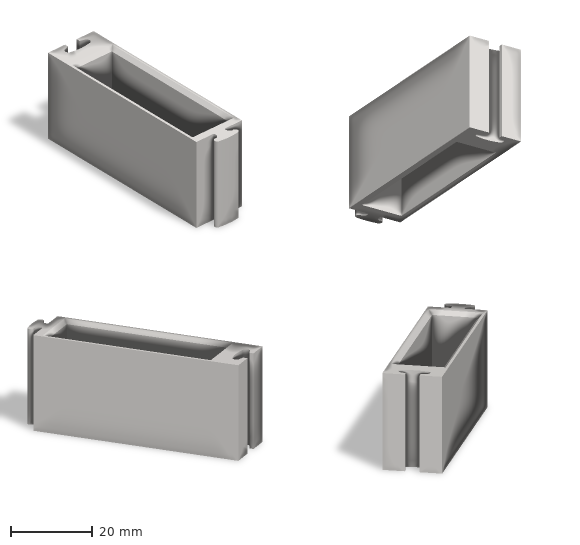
import cadquery as cq

total_length = 58.65
width = 15.0
height = 25.0

tongue_reach = 3.7
neck_root_half = 1.8
neck_half = 1.65
neck_x = 0.6
throat_x = 1.8
throat_half = 2.75
head_x = 2.6
head_half = 3.8
face_edge_x = 3.45
face_edge_half = 3.0

groove_depth = 3.8
mouth_half = 1.9
lip_depth = 1.1
flank_x = 1.6
flank_half = 3.4
pocket_x = 2.4
pocket_half = 4.0
floor_edge_x = 3.45
floor_edge_half = 3.0

opening_start = 8.75
end_wall = 3.3
side_wall = 1.75
rim_bevel = 1.05

body_length = total_length - tongue_reach


def make_body():
    return cq.Workplane("XY").box(body_length, width, height, centered=(False, True, False))


def make_tongue():
    outline = (
        cq.Workplane("XY", origin=(body_length, 0, 0))
        .moveTo(0, -neck_root_half)
        .threePointArc((neck_x, -neck_half), (throat_x, -throat_half))
        .threePointArc((head_x, -head_half), (face_edge_x, -face_edge_half))
        .threePointArc((tongue_reach, 0), (face_edge_x, face_edge_half))
        .threePointArc((head_x, head_half), (throat_x, throat_half))
        .threePointArc((neck_x, neck_half), (0, neck_root_half))
        .close()
    )
    return outline.extrude(height)


def make_groove():
    outline = (
        cq.Workplane("XY")
        .moveTo(0, -mouth_half)
        .lineTo(lip_depth, -mouth_half)
        .lineTo(flank_x, -flank_half)
        .threePointArc((pocket_x, -pocket_half), (floor_edge_x, -floor_edge_half))
        .threePointArc((groove_depth, 0), (floor_edge_x, floor_edge_half))
        .threePointArc((pocket_x, pocket_half), (flank_x, flank_half))
        .lineTo(lip_depth, mouth_half)
        .lineTo(0, mouth_half)
        .close()
    )
    return outline.extrude(height)


def make_opening():
    opening_length = body_length - opening_start - end_wall
    opening_width = width - 2 * side_wall
    center_x = opening_start + opening_length / 2
    shaft = (
        cq.Workplane("XY", origin=(center_x, 0, 0))
        .rect(opening_length, opening_width)
        .extrude(height)
    )
    rim = (
        cq.Workplane("XY", origin=(center_x, 0, height))
        .rect(opening_length + 2 * rim_bevel, opening_width + 2 * rim_bevel)
        .extrude(-rim_bevel, taper=45)
    )
    return shaft.union(rim)


result = make_body().union(make_tongue()).cut(make_groove()).cut(make_opening())